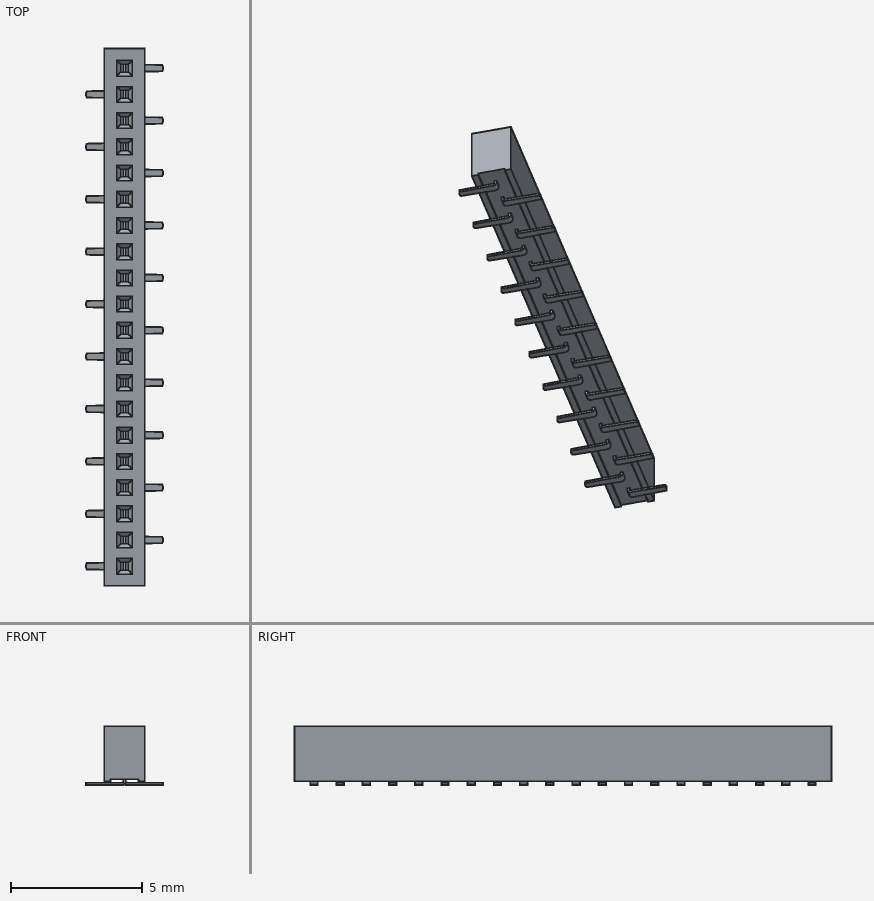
import cadquery as cq

PIN_COUNT = 20
PITCH = 1.0
OVERALL_WIDTH = 2.95
OVERALL_HEIGHT = 2.25

BODY_WIDTH = 1.55
BODY_LENGTH = 20.5
BODY_HEIGHT = 2.1
GROOVE_WIDTH = 1.05
GROOVE_DEPTH = 0.07

MOUTH_SIZE = 0.6
SOCKET_SIZE = 0.3
FUNNEL_DEPTH = 0.15
SOCKET_DEPTH = 0.5

BLADE_WIDTH = 0.3
BLADE_RISE = 0.05
FOOT_TIP_WIDTH = 0.25
SHEET_THICKNESS = 0.1
INNER_BEND_RADIUS = 0.05
TIP_BULGE = 0.04

BODY_BOTTOM = OVERALL_HEIGHT - BODY_HEIGHT
FUNNEL_BOTTOM = OVERALL_HEIGHT - FUNNEL_DEPTH
SOCKET_FLOOR = OVERALL_HEIGHT - SOCKET_DEPTH
BLADE_TOP = SOCKET_FLOOR + BLADE_RISE
OUTER_BEND_RADIUS = INNER_BEND_RADIUS + SHEET_THICKNESS
FIRST_PIN_Y = PITCH * (PIN_COUNT - 1) / 2


def block(width, length, bottom, top, y=0):
    """Upright box centred on (0, y), spanning the heights bottom to top."""
    return (
        cq.Workplane("XY")
        .box(width, length, top - bottom, centered=(True, True, False))
        .translate((0, y, bottom))
    )


def make_body():
    """Rectangular bar with a shallow groove along its underside."""
    bar = block(BODY_WIDTH, BODY_LENGTH, BODY_BOTTOM, OVERALL_HEIGHT)
    groove = block(GROOVE_WIDTH, BODY_LENGTH, BODY_BOTTOM, BODY_BOTTOM + GROOVE_DEPTH)
    return bar.cut(groove)


def make_opening(y):
    """Square socket with a tapered lead-in at the top."""
    funnel = (
        cq.Workplane("XY", origin=(0, y, FUNNEL_BOTTOM))
        .rect(SOCKET_SIZE, SOCKET_SIZE)
        .workplane(offset=FUNNEL_DEPTH)
        .rect(MOUTH_SIZE, MOUTH_SIZE)
        .loft()
    )
    socket = block(SOCKET_SIZE, SOCKET_SIZE, SOCKET_FLOOR, FUNNEL_BOTTOM, y=y)
    return funnel.union(socket)


def make_contact(y, side):
    """Upright blade bent into a tapered, round-tipped foot reaching toward +X (side 1) or -X (side -1)."""
    blade_back = -SHEET_THICKNESS / 2
    blade_front = SHEET_THICKNESS / 2
    bend_end = blade_front + INNER_BEND_RADIUS
    blade_half_width = BLADE_WIDTH / 2
    tip_half_width = FOOT_TIP_WIDTH / 2
    tip = OVERALL_WIDTH / 2
    shoulder = tip - TIP_BULGE
    strip = (
        cq.Workplane("XZ", origin=(0, blade_half_width, 0))
        .moveTo(blade_back, BLADE_TOP)
        .lineTo(blade_back, OUTER_BEND_RADIUS)
        .radiusArc((bend_end, 0), -OUTER_BEND_RADIUS)
        .lineTo(tip, 0)
        .lineTo(tip, SHEET_THICKNESS)
        .lineTo(bend_end, SHEET_THICKNESS)
        .radiusArc((blade_front, OUTER_BEND_RADIUS), INNER_BEND_RADIUS)
        .lineTo(blade_front, BLADE_TOP)
        .close()
        .extrude(BLADE_WIDTH)
    )
    plan = (
        cq.Workplane("XY")
        .moveTo(blade_back, -blade_half_width)
        .lineTo(bend_end, -blade_half_width)
        .lineTo(shoulder, -tip_half_width)
        .threePointArc((tip, 0), (shoulder, tip_half_width))
        .lineTo(bend_end, blade_half_width)
        .lineTo(blade_back, blade_half_width)
        .close()
        .extrude(BLADE_TOP)
    )
    contact = strip.intersect(plan)
    if side < 0:
        contact = contact.mirror("YZ")
    return contact.translate((0, y, 0))


result = make_body()
for index in range(PIN_COUNT):
    pin_y = FIRST_PIN_Y - index * PITCH
    foot_side = 1 if index % 2 == 0 else -1
    result = result.cut(make_opening(pin_y))
    result = result.union(make_contact(pin_y, foot_side))